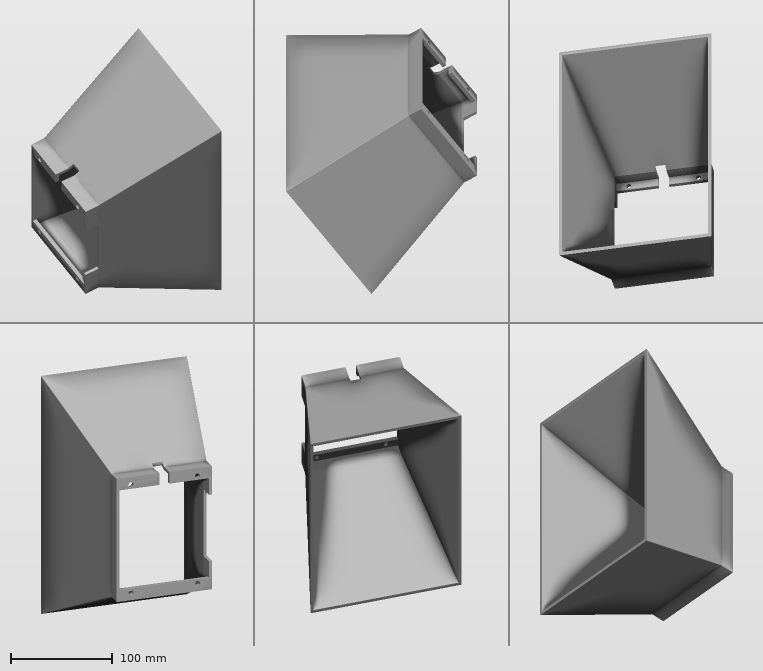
import cadquery as cq
import math

mouth_width = 153.2
mouth_height = 251.5
total_depth = 141.7

collar_width = 100.1
collar_height = 130.0
collar_depth = 15.0
side_wall = 3.0
roof_wall = 3.5

opening_height = 105.2
flange_thickness = 4.0

hole_diameter = 5.0
hole_spacing_x = 70.0
hole_spacing_z = 113.7

slot_width = 10.5
slot_depth = 21.1
cutout_height = 70.0
edge_radius = 0.5

inner_width = collar_width - 2 * side_wall
inner_height = collar_height - 2 * roof_wall
hood_depth = total_depth - collar_depth


def block(width, height, start_y, depth):
    """Box centred on X and Z, extending along +Y from start_y."""
    return cq.Workplane("XY").box(width, depth, height).translate((0, start_y + depth / 2, 0))


def frustum(front_width, front_height, start_y, back_width, back_height):
    """Rectangular taper from start_y to the hood mouth."""
    return (
        cq.Workplane("XZ", origin=(0, start_y, 0))
        .rect(front_width, front_height)
        .workplane(offset=start_y - total_depth)
        .rect(back_width, back_height)
        .loft(ruled=True)
    )


def rounded_outline(width, height, y):
    """Closed outline with softened corners at the given depth."""
    return (
        cq.Workplane("XZ", origin=(0, y, 0))
        .rect(width, height)
        .extrude(-2.5)
        .edges("|Y")
        .fillet(edge_radius)
        .faces("<Y")
        .wires()
        .val()
    )


def mitre_setback(mouth_size, collar_size, wall):
    """Distance the inner bend lies behind the outer bend for a uniform wall."""
    slope = math.atan2((mouth_size - collar_size) / 2, hood_depth)
    return wall * math.tan(slope / 2)


def mouth_inner_size(mouth_size, collar_size, wall):
    """Mouth opening left by a wall measured square to its sloping face."""
    slope = math.atan2((mouth_size - collar_size) / 2, hood_depth)
    return mouth_size - 2 * wall / math.cos(slope)


def make_shell():
    """Collar and hood with softened outer edges and a hollow interior."""
    collar = block(collar_width, collar_height, 0, collar_depth).edges("|Y").fillet(edge_radius)
    hood = cq.Workplane(
        cq.Solid.makeLoft(
            [
                rounded_outline(collar_width, collar_height, collar_depth),
                rounded_outline(mouth_width, mouth_height, total_depth),
            ],
            True,
        )
    )
    outer = collar.union(hood)

    inner_start = collar_depth + mitre_setback(mouth_height, collar_height, roof_wall)
    inner_collar = block(inner_width, inner_height, flange_thickness, inner_start - flange_thickness)
    inner_hood = frustum(
        inner_width,
        inner_height,
        inner_start,
        mouth_inner_size(mouth_width, collar_width, side_wall),
        mouth_inner_size(mouth_height, collar_height, roof_wall),
    )
    opening = block(inner_width, opening_height, 0, flange_thickness)
    return outer.cut(inner_collar).cut(inner_hood).cut(opening)


def make_screw_holes():
    """Four holes through the front flanges."""
    return (
        cq.Workplane("XZ")
        .rect(hole_spacing_x, hole_spacing_z, forConstruction=True)
        .vertices()
        .circle(hole_diameter / 2)
        .extrude(-flange_thickness)
    )


def make_top_slot():
    """Central slot through the top flange, collar and start of the hood."""
    height = mouth_height / 2
    return block(slot_width, height, 0, slot_depth).translate((0, 0, height / 2))


def make_side_cutout():
    """Window through the +X wall, open at the collar front."""
    return block(collar_width / 2, cutout_height, 0, collar_depth).translate((collar_width / 2, 0, 0))


result = make_shell().cut(make_screw_holes()).cut(make_top_slot()).cut(make_side_cutout())